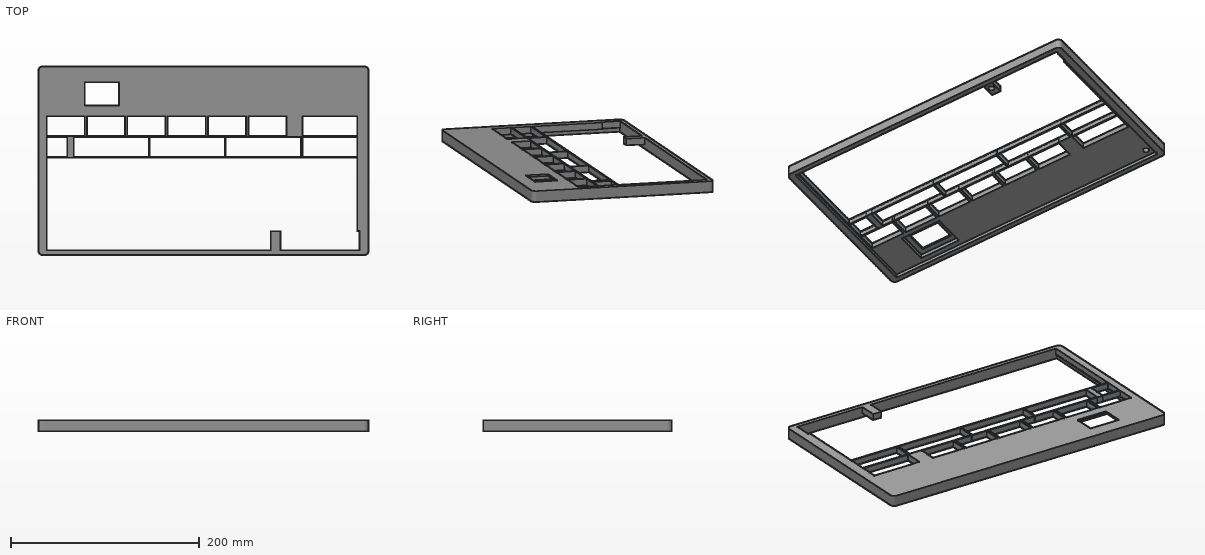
import cadquery as cq

case_length = 350.0
case_width = 200.0
case_height = 12.0
corner_radius = 5.0

grid_depth = 7.2
side_rim = 7.8
end_rim = 5.3
hollow_right = case_length / 2 - side_rim
hollow_back = case_width / 2 - end_rim
hollow_top = case_height - grid_depth

keys_left = -166.0
keys_right = 162.7
keys_back = 47.0
row_pitch = 22.0
row_rib = 1.3
row_height = row_pitch - row_rib

right_block_left = 105.1

back_row_count = 6
back_row_pitch = 42.75
back_row_opening = 40.0

small_opening_right = -144.4
wide_left = -137.4
wide_count = 3
wide_pitch = 80.6
wide_opening = 79.2

main_back = keys_back - 2 * row_pitch
main_front = -hollow_back
front_row_back = -74.5
front_row_right = 165.0
tab_left = 71.0
tab_right = 81.8

window_left = -125.7
window_right = -89.6
window_front = 58.6
window_back = 83.0
window_skin = 2.0
display_margin = 6.0

screw_diameter = 6.4
screw_skin = 1.5
corner_screw = (158.0, 87.0)
tab_screw = ((tab_left + tab_right) / 2, -83.5)


def block(left, right, front, back, bottom=0.0, top=case_height):
    """Axis-aligned block given by its limits."""
    size = (right - left, back - front, top - bottom)
    return cq.Workplane("XY").box(*size, centered=False).translate((left, front, bottom))


def case_body():
    body = cq.Workplane("XY").box(case_length, case_width, case_height, centered=(True, True, False))
    return body.edges("|Z").fillet(corner_radius)


def underside_hollow():
    return block(-hollow_right, hollow_right, -hollow_back, hollow_back, top=hollow_top)


def equal_spans(start, pitch, opening, count):
    """Left and right limits of equal openings at a regular pitch."""
    return [(start + i * pitch, start + i * pitch + opening) for i in range(count)]


def cut_key_row(body, back, spans):
    for left, right in spans:
        body = body.cut(block(left, right, back - row_height, back))
    return body


def main_opening():
    opening = block(keys_left, keys_right, main_front, main_back)
    front_row = block(keys_left, front_row_right, main_front, front_row_back)
    tab = block(tab_left, tab_right, main_front, front_row_back)
    return opening.union(front_row).cut(tab)


def display_opening():
    window = block(window_left, window_right, window_front, window_back)
    pocket = block(
        window_left - display_margin,
        window_right + display_margin,
        window_front - display_margin,
        window_back + display_margin,
        top=case_height - window_skin,
    )
    return window.union(pocket)


def screw_holes():
    holes = cq.Workplane("XY").pushPoints([corner_screw, tab_screw])
    return holes.circle(screw_diameter / 2).extrude(case_height - screw_skin)


right_block = [(right_block_left, keys_right)]
back_row = equal_spans(keys_left, back_row_pitch, back_row_opening, back_row_count)
second_row = equal_spans(wide_left, wide_pitch, wide_opening, wide_count)
small_opening = [(keys_left, small_opening_right)]

result = case_body().cut(underside_hollow())
result = cut_key_row(result, keys_back, back_row + right_block)
result = cut_key_row(result, keys_back - row_pitch, small_opening + second_row + right_block)
result = result.cut(main_opening())
result = result.cut(display_opening())
result = result.cut(screw_holes())